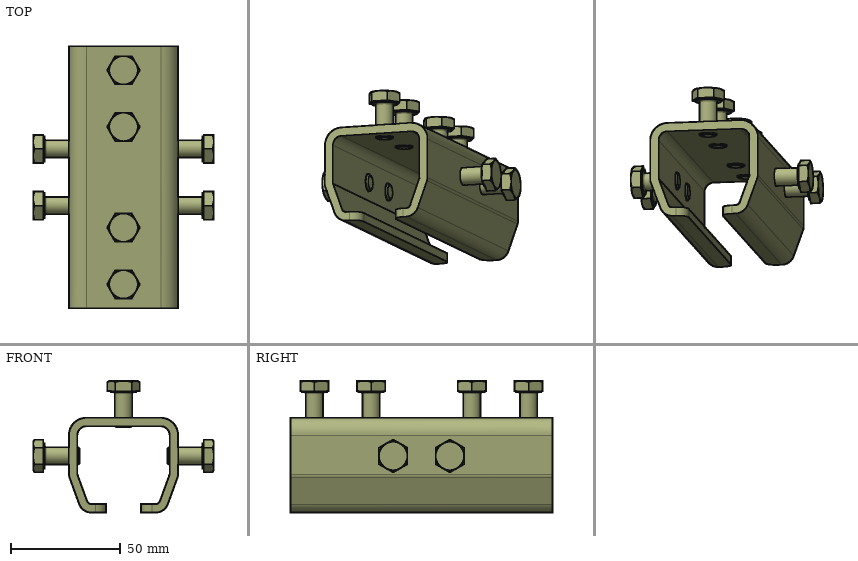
import cadquery as cq
import math

length = 120.0
width = 50.0
height = 43.5
wall = 4.0
top_bend_inner_radius = 4.1
lip_bend_inner_radius = 2.0
kink_depth = 25.9
kink_angle = 20.0
lip_gap = 16.0
lip_corner_radius = 5.0

shank_diameter = 8.0
tip_diameter = 6.5
across_flats = 13.0
collar_diameter = 11.6
collar_height = 0.6
neck_fillet_radius = 0.4
head_height = 5.3
shank_length = 16.0
crown_angle = 30.0

head_top_above_channel = 16.8
span_over_side_bolts = 82.5
top_bolt_inner_y = 23.0
bolt_pitch = 25.9
side_bolt_depth = 17.5

side_bolt_z = height - side_bolt_depth
top_bolt_outer_y = top_bolt_inner_y + bolt_pitch
top_bolt_ys = [-top_bolt_outer_y, -top_bolt_inner_y, top_bolt_inner_y, top_bolt_outer_y]
side_bolt_ys = [-bolt_pitch / 2, bolt_pitch / 2]


def point_on_circle(center, radius, angle):
    """Point on a circle, with the angle in degrees from +X."""
    turn = math.radians(angle)
    return (center[0] + radius * math.cos(turn), center[1] + radius * math.sin(turn))


def add_bend(outline, center, radius, start_angle, end_angle):
    """Line to the start of a bend, then an arc round it."""
    middle_angle = (start_angle + end_angle) / 2
    return outline.lineTo(*point_on_circle(center, radius, start_angle)).threePointArc(
        point_on_circle(center, radius, middle_angle),
        point_on_circle(center, radius, end_angle),
    )


def make_channel_half():
    """Half of the channel on the +X side."""
    top_outer_radius = top_bend_inner_radius + wall
    lip_outer_radius = lip_bend_inner_radius + wall
    top_center = (width / 2 - top_outer_radius, height - top_outer_radius)
    kink_center = (width / 2 - wall, height - kink_depth)
    lean = math.radians(kink_angle)
    lip_center_z = lip_outer_radius
    drop = kink_center[1] - lip_center_z
    inset = (lip_bend_inner_radius + drop * math.sin(lean)) / math.cos(lean)
    lip_center = (kink_center[0] - inset, lip_center_z)

    outline = cq.Workplane("XZ", origin=(0, length / 2, 0)).moveTo(0, height)
    outline = add_bend(outline, top_center, top_outer_radius, 90, 0)
    outline = add_bend(outline, kink_center, wall, 0, -kink_angle)
    outline = add_bend(outline, lip_center, lip_outer_radius, -kink_angle, -90)
    outline = outline.lineTo(lip_gap / 2, 0).lineTo(lip_gap / 2, wall)
    outline = add_bend(outline, lip_center, lip_bend_inner_radius, -90, -kink_angle)
    outline = outline.lineTo(*kink_center)
    outline = add_bend(outline, top_center, top_bend_inner_radius, 0, 90)
    half = outline.lineTo(0, height - wall).close().extrude(length)

    lip_tip = cq.selectors.BoxSelector(
        (0, -length, 0), (lip_gap / 2 + wall / 2, length, wall)
    )
    return half.edges("|Z").edges(lip_tip).fillet(lip_corner_radius)


def make_channel():
    """Both halves joined, with a bolt-sized hole for every bolt."""
    half = make_channel_half()
    channel = half.union(half.mirror("YZ"))
    top_holes = (
        cq.Workplane("XY", origin=(0, 0, side_bolt_z))
        .pushPoints([(0, y) for y in top_bolt_ys])
        .circle(shank_diameter / 2)
        .extrude(height)
    )
    side_holes = (
        cq.Workplane("YZ", origin=(-width, 0, side_bolt_z))
        .pushPoints([(y, 0) for y in side_bolt_ys])
        .circle(shank_diameter / 2)
        .extrude(2 * width)
    )
    return channel.cut(top_holes).cut(side_holes)


def make_bolt():
    """Upright bolt with the top of its head at the origin and two hexagon corners along X."""
    across_corners = across_flats / math.cos(math.pi / 6)
    hexagon = (
        cq.Workplane("XY", origin=(0, 0, collar_height - head_height))
        .polygon(6, across_corners)
        .extrude(head_height - collar_height)
    )
    crown_radius = across_flats / 2
    cone_drop = head_height
    cone_radius = crown_radius + cone_drop / math.tan(math.radians(crown_angle))
    crown = (
        cq.Workplane("XZ")
        .polyline([(0, 0), (crown_radius, 0), (cone_radius, -cone_drop), (0, -cone_drop)])
        .close()
        .revolve(360, (0, 0), (0, 1))
    )
    collar = (
        cq.Workplane("XY", origin=(0, 0, -head_height))
        .circle(collar_diameter / 2)
        .extrude(collar_height)
    )
    shank = (
        cq.Workplane("XY", origin=(0, 0, -head_height))
        .circle(shank_diameter / 2)
        .extrude(-shank_length)
        .faces("<Z")
        .chamfer((shank_diameter - tip_diameter) / 2)
    )
    bolt = hexagon.intersect(crown).union(collar).union(shank)

    neck_reach = (shank_diameter + collar_diameter) / 4
    neck = cq.selectors.BoxSelector(
        (-neck_reach, -neck_reach, -head_height - neck_fillet_radius),
        (neck_reach, neck_reach, -head_height + neck_fillet_radius),
        boundingbox=True,
    )
    return bolt.edges(neck).fillet(neck_fillet_radius)


def make_top_bolts():
    """Bolts standing in the top of the channel."""
    head_top_z = height + head_top_above_channel
    return [make_bolt().translate((0, y, head_top_z)).val() for y in top_bolt_ys]


def make_side_bolts():
    """Bolts in both side walls, heads outward, with hexagon corners along Z."""
    bolts = []
    for side in (-1, 1):
        lying_bolt = make_bolt().rotate((0, 0, 0), (0, 1, 0), side * 90)
        for y in side_bolt_ys:
            place = (side * span_over_side_bolts / 2, y, side_bolt_z)
            bolts.append(lying_bolt.translate(place).val())
    return bolts


channel = make_channel()
top_bolts = make_top_bolts()
side_bolts = make_side_bolts()

result = cq.Compound.makeCompound([channel.val(), *top_bolts, *side_bolts])